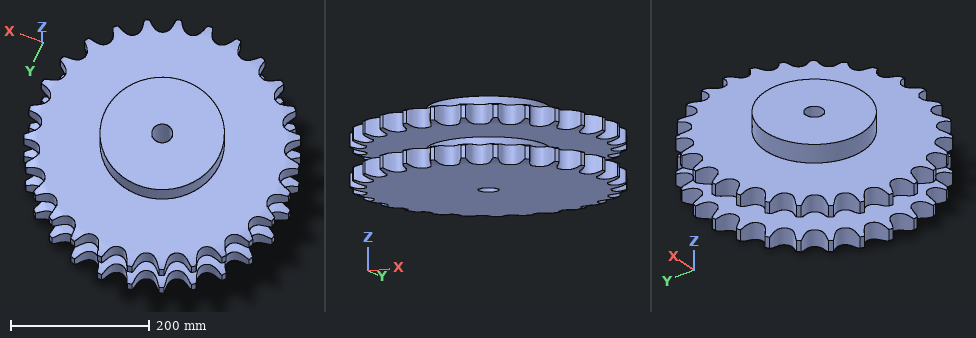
import cadquery as cq
import math

overall_width = 401
tooth_count = 27
pitch_diameter = 383.0
roller_diameter = 28.0
disc_width = 29.0
disc_spacing = 59.5
rim_flat_radius = 180.5
rim_drop = 5.0
hub_diameter = 180.0
hub_height = 120.0
bore_diameter = 30.0

pitch_radius = pitch_diameter / 2
tooth_angle = 360 / tooth_count

seat_radius = 0.5025 * roller_diameter
seat_end_angle = 35 + 60 / tooth_count
working_sweep = 18 - 56 / tooth_count
working_center_distance = 0.8 * roller_diameter
working_radius = seat_radius + working_center_distance
topping_center_distance = 1.4 * roller_diameter
flank_angle = seat_end_angle - working_sweep


def offset(point, distance, angle):
    """Move a point by a distance in a direction given in degrees."""
    turn = math.radians(angle)
    return (point[0] + distance * math.cos(turn), point[1] + distance * math.sin(turn))


def mirror(point):
    """Mirror a point across the centre line of the gap at +Y."""
    return (-point[0], point[1])


def place(point, gap_index):
    """Turn a point of the gap centred on +Y to another gap, counting clockwise."""
    turn = math.radians(-gap_index * tooth_angle)
    return (
        point[0] * math.cos(turn) - point[1] * math.sin(turn),
        point[0] * math.sin(turn) + point[1] * math.cos(turn),
    )


seat_center = (0, pitch_radius)
working_center = offset(seat_center, working_center_distance, 180 - seat_end_angle)
topping_center = offset(seat_center, topping_center_distance, -tooth_angle / 2)

flank_normal = math.radians(-flank_angle)
center_spacing = (topping_center[0] - working_center[0]) * math.cos(flank_normal) + (
    topping_center[1] - working_center[1]
) * math.sin(flank_normal)
topping_radius = center_spacing - working_radius


def find_tip_radius():
    """Tip radius that puts the outermost tooth corners at half the overall width."""
    gap_index = math.ceil(90 / tooth_angle)
    center = place(mirror(topping_center), gap_index)
    corner_x = overall_width / 2
    corner_y = center[1] - math.sqrt(topping_radius**2 - (corner_x - center[0]) ** 2)
    return math.hypot(corner_x, corner_y)


tip_radius = find_tip_radius()


def find_apex_angle():
    """Direction from the topping centre to where the topping arc meets the tooth centre line."""
    axis_angle = 90 - tooth_angle / 2
    axis = math.radians(axis_angle)
    axis_distance = topping_center[0] * math.sin(axis) - topping_center[1] * math.cos(axis)
    return axis_angle + math.degrees(math.asin(axis_distance / topping_radius))


def toothed_prism():
    """Extruded outline of pointed teeth, before the rim trims them."""
    apex_angle = find_apex_angle()
    flank_end_angle = 180 - flank_angle
    seat_bottom = offset(seat_center, seat_radius, -90)
    right_half = [
        offset(seat_center, seat_radius, -seat_end_angle),
        offset(working_center, working_radius, -(seat_end_angle + flank_angle) / 2),
        offset(working_center, working_radius, -flank_angle),
        offset(topping_center, topping_radius, flank_end_angle),
        offset(topping_center, topping_radius, (flank_end_angle + apex_angle) / 2),
        offset(topping_center, topping_radius, apex_angle),
    ]
    left_half = [mirror(point) for point in right_half]

    outline = cq.Workplane("XY").moveTo(*left_half[-1])
    for gap in range(tooth_count):
        bottom = place(seat_bottom, gap)
        seat_end, working_mid, working_end, flank_end, topping_mid, _ = [
            place(point, gap) for point in left_half
        ]
        outline = outline.threePointArc(topping_mid, flank_end).lineTo(*working_end)
        outline = outline.threePointArc(working_mid, seat_end)

        seat_end, working_mid, working_end, flank_end, topping_mid, apex = [
            place(point, gap) for point in right_half
        ]
        outline = outline.threePointArc(bottom, seat_end).threePointArc(working_mid, working_end)
        outline = outline.lineTo(*flank_end).threePointArc(topping_mid, apex)
    return outline.close().extrude(disc_width)


def rim_blank():
    """Turned disc whose faces curve in towards the rim, tangent to the flat faces."""
    reach = tip_radius - rim_flat_radius
    curve_radius = (reach**2 + rim_drop**2) / (2 * rim_drop)
    half_sweep = math.asin(reach / curve_radius) / 2
    mid_radius = rim_flat_radius + curve_radius * math.sin(half_sweep)
    mid_drop = curve_radius * (1 - math.cos(half_sweep))
    return (
        cq.Workplane("XZ")
        .lineTo(rim_flat_radius, 0)
        .threePointArc((mid_radius, mid_drop), (tip_radius, rim_drop))
        .lineTo(tip_radius, disc_width - rim_drop)
        .threePointArc((mid_radius, disc_width - mid_drop), (rim_flat_radius, disc_width))
        .lineTo(0, disc_width)
        .close()
        .revolve(360, (0, 0, 0), (0, 1, 0))
    )


disc = toothed_prism().intersect(rim_blank())
hub = cq.Workplane("XY").circle(hub_diameter / 2).extrude(hub_height)
bore = cq.Workplane("XY").circle(bore_diameter / 2).extrude(hub_height)

result = hub.union(disc).union(disc.translate((0, 0, disc_spacing))).cut(bore)